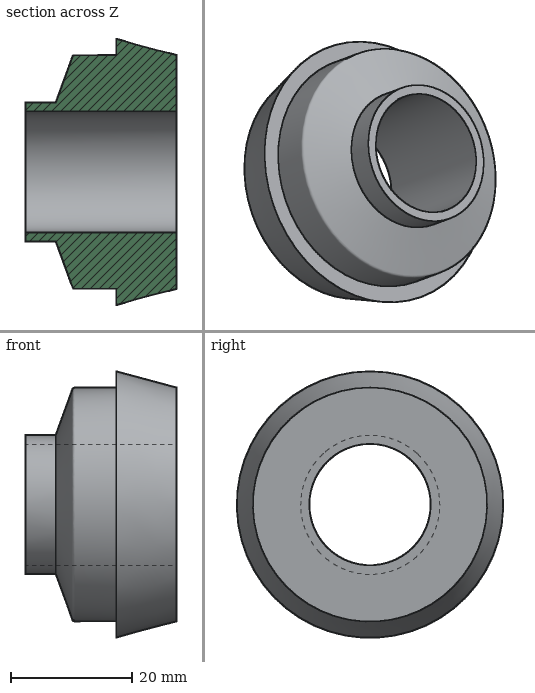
import cadquery as cq
import math

total_length = 25.0
neck_length = 5.0
flange_x = 15.0

bore_radius = 10.0
neck_radius = 11.5
body_radius = 19.3
flange_radius = 22.0

shoulder_angle = 20
shoulder_x = neck_length + (body_radius - neck_radius) * math.tan(math.radians(shoulder_angle))
shoulder_fillet = 0.5

section = (
    cq.Workplane("XZ")
    .moveTo(0, bore_radius)
    .lineTo(0, neck_radius)
    .lineTo(neck_length, neck_radius)
    .lineTo(shoulder_x, body_radius)
    .lineTo(flange_x, body_radius)
    .lineTo(flange_x, flange_radius)
    .lineTo(total_length, body_radius)
    .lineTo(total_length, bore_radius)
    .close()
)
body = section.revolve(360, (0, 0, 0), (1, 0, 0))

shoulder_edge = cq.selectors.NearestToPointSelector((shoulder_x, 0, 0))
rim_edges = body.edges("%CIRCLE")
result = rim_edges.edges(shoulder_edge).fillet(shoulder_fillet)